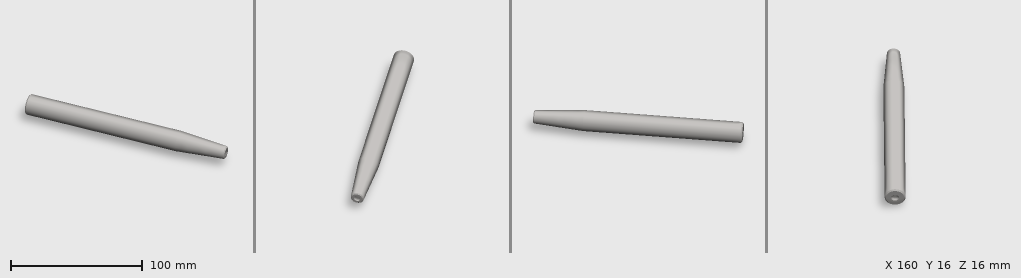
import cadquery as cq

total_length = 160.0
shank_diameter = 16.0
nose_length = 38.4
nose_tip_diameter = 10.0
rear_chamfer = 1.0
tip_chamfer = 0.8

bore_diameter = 5.0
mouth_diameter = 6.0

shank_radius = shank_diameter / 2
tip_radius = nose_tip_diameter / 2
shank_end = total_length / 2 - nose_length
rear_x = -total_length / 2
tip_x = total_length / 2


def make_body():
    """Revolve the half outline of the shank and nose about the X axis."""
    half_outline = (
        cq.Workplane("XY")
        .moveTo(rear_x, 0)
        .lineTo(rear_x, shank_radius - rear_chamfer)
        .lineTo(rear_x + rear_chamfer, shank_radius)
        .lineTo(shank_end, shank_radius)
        .lineTo(tip_x - tip_chamfer, tip_radius)
        .lineTo(tip_x, tip_radius - tip_chamfer)
        .lineTo(tip_x, 0)
        .close()
    )
    return half_outline.revolve(360, (0, 0, 0), (1, 0, 0))


def make_bore():
    """Through bore with a 45 degree countersink at the rear."""
    bore_radius = bore_diameter / 2
    mouth_radius = mouth_diameter / 2
    countersink_depth = mouth_radius - bore_radius
    half_outline = (
        cq.Workplane("XY")
        .moveTo(rear_x, 0)
        .lineTo(rear_x, mouth_radius)
        .lineTo(rear_x + countersink_depth, bore_radius)
        .lineTo(tip_x, bore_radius)
        .lineTo(tip_x, 0)
        .close()
    )
    return half_outline.revolve(360, (0, 0, 0), (1, 0, 0))


result = make_body().cut(make_bore())